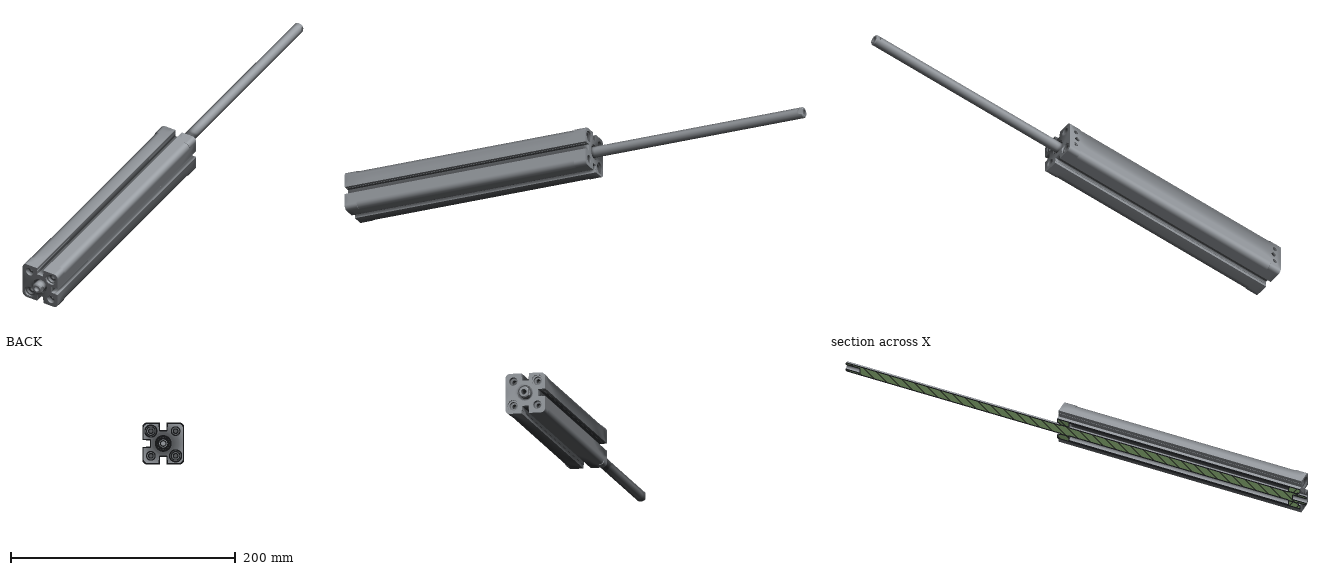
import cadquery as cq

TOTAL_LENGTH = 450.0
WIDTH = 36.5
FRONT_STICKOUT = 6.5
CAP_LENGTH = 11.5
BODY_LENGTH = 237.0

ROD_FRONT_Y = -TOTAL_LENGTH / 2
ROD_BACK_Y = TOTAL_LENGTH / 2
FRONT_FACE_Y = ROD_FRONT_Y + FRONT_STICKOUT
BACK_FACE_Y = FRONT_FACE_Y + BODY_LENGTH
BARREL_FRONT_Y = FRONT_FACE_Y + CAP_LENGTH
BARREL_BACK_Y = BACK_FACE_Y - CAP_LENGTH

CAP_CORNER_RADIUS = 4.0
BARREL_CORNER_RADIUS = 5.5

SLOT_MOUTH_WIDTH = 6.8
SLOT_INNER_WIDTH = 6.5
SLOT_DEPTH = 6.8
SLOT_MOUTH_DEPTH = 3.0
SLOT_ANGLES = (0, 90, -90)

BORE_DIAMETER = 20.0

ROD_DIAMETER = 10.0
ROD_CHAMFER = 1.0
ROD_FLAT_WIDTH = 8.0
ROD_FLAT_LENGTH = 4.5
ROD_HOLE_DIAMETER = 5.0
ROD_HOLE_DEPTH = 13.5

SEAL_RECESS_DIAMETER = 14.0
SEAL_RECESS_DEPTH = 1.5
SEAL_GROOVE_DIAMETER = 12.0
SEAL_GROOVE_DEPTH = 2.5

SCREW_SPACING = 22.0
SCREW_HOLE_DIAMETER = 4.15
SCREW_HEAD_DIAMETER = 7.5
SCREW_HEAD_DEPTH = 4.5
SLEEVE_DIAMETER = 10.5
SLEEVE_MOUTH_DIAMETER = 11.0
SLEEVE_DEPTH = 2.0

PORT_MOUTH_DIAMETER = 5.0
PORT_DIAMETER = 4.15
PORT_DEPTH = 6.8
PORT_INSET = 8.0
PIN_HOLE_MOUTH_DIAMETER = 4.15
PIN_HOLE_MOUTH_DEPTH = 1.0
PIN_HOLE_DIAMETER = 2.5
PIN_HOLE_DEPTH = 2.3
PIN_HOLE_OFFSET = 8.0
PIN_HOLE_INSET = 6.8


def cylinder_y(y, length, diameter, points=((0, 0),)):
    """Cylinders along Y starting at y, at the given (x, z) points; negative length runs to -Y."""
    discs = cq.Workplane("XZ", origin=(0, y, 0)).pushPoints(points).circle(diameter / 2)
    return discs.extrude(-length)


def side_hole(y, z, diameter, depth):
    start = cq.Workplane("YZ", origin=(-WIDTH / 2, 0, 0)).center(y, z)
    return start.circle(diameter / 2).extrude(depth)


def slotted_block(y, length, corner_radius):
    """Square bar along Y with rounded corners and the three sensor slots."""
    block = cq.Workplane("XZ", origin=(0, y, 0)).rect(WIDTH, WIDTH).extrude(-length)
    block = block.edges("|Y").fillet(corner_radius)
    outer = WIDTH / 2
    middle_y = y + length / 2
    mouth = cq.Workplane().box(SLOT_MOUTH_DEPTH, length, SLOT_MOUTH_WIDTH)
    mouth = mouth.translate((outer - SLOT_MOUTH_DEPTH / 2, middle_y, 0))
    inner_depth = SLOT_DEPTH - SLOT_MOUTH_DEPTH
    inner = cq.Workplane().box(inner_depth, length, SLOT_INNER_WIDTH)
    inner = inner.translate((outer - SLOT_MOUTH_DEPTH - inner_depth / 2, middle_y, 0))
    slot = mouth.union(inner)
    for angle in SLOT_ANGLES:
        block = block.cut(slot.rotate((0, 0, 0), (0, 1, 0), angle))
    return block


def make_cap(outer_y, inward):
    """End cap with its outer face at outer_y; inward is the Y direction (+1 or -1) to the barrel."""
    body = slotted_block(min(outer_y, outer_y + inward * CAP_LENGTH), CAP_LENGTH, CAP_CORNER_RADIUS)

    body = body.cut(cylinder_y(outer_y, inward * CAP_LENGTH, ROD_DIAMETER))
    body = body.cut(cylinder_y(outer_y, inward * SEAL_RECESS_DEPTH, SEAL_RECESS_DIAMETER))
    body = body.cut(cylinder_y(outer_y, inward * SEAL_GROOVE_DEPTH, SEAL_GROOVE_DIAMETER))

    offset = SCREW_SPACING / 2
    sleeve_points = [(offset, offset), (-offset, -offset)]
    all_points = sleeve_points + [(-offset, offset), (offset, -offset)]
    body = body.cut(cylinder_y(outer_y, inward * CAP_LENGTH, SCREW_HOLE_DIAMETER, all_points))
    body = body.cut(cylinder_y(outer_y, inward * SCREW_HEAD_DEPTH, SCREW_HEAD_DIAMETER, all_points))
    body = body.cut(cylinder_y(outer_y, inward * SLEEVE_DEPTH, SLEEVE_DIAMETER, sleeve_points))
    mouth_depth = (SLEEVE_MOUTH_DIAMETER - SLEEVE_DIAMETER) / 2
    body = body.cut(cylinder_y(outer_y, inward * mouth_depth, SLEEVE_MOUTH_DIAMETER, sleeve_points))

    port_y = outer_y + inward * PORT_INSET
    body = body.cut(side_hole(port_y, 0, PORT_DIAMETER, PORT_DEPTH))
    chamfer = (PORT_MOUTH_DIAMETER - PORT_DIAMETER) / 2
    body = body.cut(side_hole(port_y, 0, PORT_MOUTH_DIAMETER, chamfer))
    for z in (-PIN_HOLE_OFFSET, PIN_HOLE_OFFSET):
        pin_y = outer_y + inward * PIN_HOLE_INSET
        body = body.cut(side_hole(pin_y, z, PIN_HOLE_DIAMETER, PIN_HOLE_DEPTH))
        body = body.cut(side_hole(pin_y, z, PIN_HOLE_MOUTH_DIAMETER, PIN_HOLE_MOUTH_DEPTH))
    return body


def make_barrel():
    length = BARREL_BACK_Y - BARREL_FRONT_Y
    body = slotted_block(BARREL_FRONT_Y, length, BARREL_CORNER_RADIUS)
    return body.cut(cylinder_y(BARREL_FRONT_Y, length, BORE_DIAMETER))


def make_rod():
    body = cylinder_y(ROD_FRONT_Y, TOTAL_LENGTH, ROD_DIAMETER)
    body = body.faces("<Y or >Y").chamfer(ROD_CHAMFER)
    for end_y, inward in ((ROD_FRONT_Y, 1), (ROD_BACK_Y, -1)):
        for side in (-1, 1):
            start = cq.Workplane("YZ", origin=(side * ROD_FLAT_WIDTH / 2, end_y, 0))
            body = body.cut(start.circle(ROD_FLAT_LENGTH).extrude(side * ROD_DIAMETER))
        body = body.cut(cylinder_y(end_y, inward * ROD_HOLE_DEPTH, ROD_HOLE_DIAMETER))
    return body


front_cap = make_cap(FRONT_FACE_Y, 1)
back_cap = make_cap(BACK_FACE_Y, -1)
barrel = make_barrel()
rod = make_rod()

result = cq.Compound.makeCompound([front_cap.val(), back_cap.val(), barrel.val(), rod.val()])